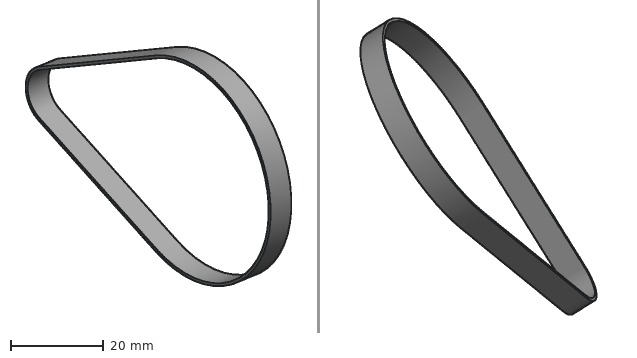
import cadquery as cq
import math

total_length = 79.45
belt_width = 6.0
belt_thickness = 0.7
large_radius = 26.3
small_radius = 7.15

large_center_x = total_length / 2 - large_radius
small_center_x = -total_length / 2 + small_radius
center_distance = large_center_x - small_center_x

run_angle = math.asin((large_radius - small_radius) / center_distance)


def teardrop(inset):
    """Solid teardrop whose outline lies the given distance inside the belt's outer face."""
    large = large_radius - inset
    small = small_radius - inset
    large_tangent_x = large_center_x - large * math.sin(run_angle)
    large_tangent_z = large * math.cos(run_angle)
    small_tangent_x = small_center_x - small * math.sin(run_angle)
    small_tangent_z = small * math.cos(run_angle)
    return (
        cq.Workplane("XZ")
        .moveTo(small_tangent_x, small_tangent_z)
        .lineTo(large_tangent_x, large_tangent_z)
        .threePointArc((large_center_x + large, 0), (large_tangent_x, -large_tangent_z))
        .lineTo(small_tangent_x, -small_tangent_z)
        .threePointArc((small_center_x - small, 0), (small_tangent_x, small_tangent_z))
        .close()
        .extrude(belt_width / 2, both=True)
    )


result = teardrop(0).cut(teardrop(belt_thickness))